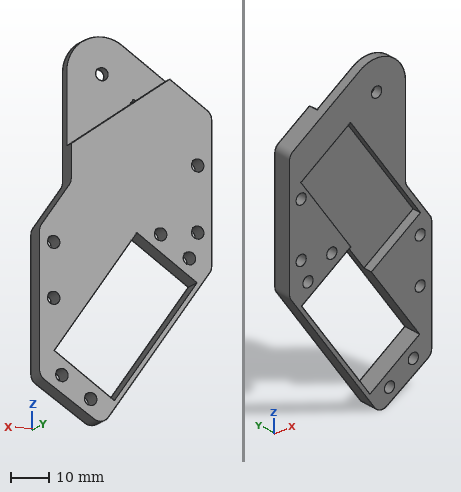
import cadquery as cq
import math

width = 49.0
thickness = 6.0
tilt = 35.0
edge_fillet = 3.0
hole_diameter = 3.5

lobe_radius = 10.0
lobe_right = 40.0
pivot_x = lobe_right - lobe_radius

center_x = width / 2
window_z = -65.2
recess_pitch = 36.0
pocket_z = window_z + recess_pitch
window_length = 41.0
recess_width = 20.9
pocket_length = 42.0

lower_edge_offset = 11.7
upper_edge_offset = 12.05
bottom_corner_offset = 28.2
bottom_tilt = 33.5

lobe_thickness = thickness / 2
pocket_depth = thickness - lobe_thickness
step_clearance = 10.7

screw_pitch_long = 49.0
screw_pitch_short = 10.0
side_hole_inset = 4.0
left_hole_heights = (-22.9, -40.9)
right_hole_heights = (-46.9, -61.9)

sine = math.sin(math.radians(tilt))
cosine = math.cos(math.radians(tilt))
slope = sine / cosine
bottom_slope = math.tan(math.radians(bottom_tilt))


def tilted_point(center_z, across, along):
    """Point offset from a recess centre, across (up-right) and along (down-right) the tilt."""
    x = center_x + across * cosine + along * sine
    z = center_z + across * sine - along * cosine
    return (x, z)


def extrude_back(sketch, depth):
    """Extrude an XZ sketch from the front face (Y = 0) toward +Y."""
    return sketch.extrude(-depth)


def long_edge_height(center_z, across, x):
    """Height at x of a long slanted edge set across from a recess centre."""
    edge_x, edge_z = tilted_point(center_z, across, 0)
    return edge_z - (x - edge_x) / slope


def make_plate():
    lobe_tangent = (pivot_x - lobe_radius * sine, lobe_radius * cosine)
    upper_left = (0, lobe_tangent[1] - lobe_tangent[0] * slope)
    lower_left = (0, long_edge_height(window_z, -lower_edge_offset, 0))
    bottom = tilted_point(window_z, -lower_edge_offset, bottom_corner_offset)
    lower_right = (width, bottom[1] + (width - bottom[0]) * bottom_slope)
    upper_right = (width, long_edge_height(pocket_z, upper_edge_offset, width))
    inner_corner = (lobe_right, long_edge_height(pocket_z, upper_edge_offset, lobe_right))
    lobe_middle_angle = math.radians((90 + tilt) / 2)
    lobe_middle = (
        pivot_x + lobe_radius * math.cos(lobe_middle_angle),
        lobe_radius * math.sin(lobe_middle_angle),
    )
    outline = (
        cq.Workplane("XZ")
        .moveTo(*upper_left)
        .lineTo(*lobe_tangent)
        .threePointArc(lobe_middle, (lobe_right, 0))
        .lineTo(*inner_corner)
        .lineTo(*upper_right)
        .lineTo(*lower_right)
        .lineTo(*bottom)
        .lineTo(*lower_left)
        .close()
    )
    plate = extrude_back(outline, thickness)
    for x, z in (upper_left, inner_corner, upper_right, lower_right, bottom, lower_left):
        corner_edge = cq.selectors.NearestToPointSelector((x, thickness / 2, z))
        plate = plate.edges(corner_edge).fillet(edge_fillet)
    return plate


def make_recess(center_z, across, along, depth):
    """Tilted rectangular block, sunk from the front face."""
    sketch = (
        cq.Workplane("XZ")
        .center(center_x, center_z)
        .transformed(rotate=(0, 0, tilt))
        .rect(across, along)
    )
    return extrude_back(sketch, depth)


def make_step():
    """Block that thins the lobe from the back, ending on a face that falls at the tilt toward +X."""
    return (
        cq.Workplane("XY")
        .box(2 * width, thickness, width, centered=(True, False, False))
        .translate((0, lobe_thickness, -step_clearance))
        .rotate((0, 0, 0), (0, 1, 0), tilt)
        .translate((pivot_x, 0, 0))
    )


def make_holes():
    points = [(pivot_x, 0)]
    points += [(side_hole_inset, z) for z in left_hole_heights]
    points += [(width - side_hole_inset, z) for z in right_hole_heights]
    for across in (-screw_pitch_short / 2, screw_pitch_short / 2):
        for along in (-screw_pitch_long / 2, screw_pitch_long / 2):
            points.append(tilted_point(window_z, across, along))
    sketch = cq.Workplane("XZ").pushPoints(points).circle(hole_diameter / 2)
    return extrude_back(sketch, thickness)


result = (
    make_plate()
    .cut(make_recess(window_z, recess_width, window_length, thickness))
    .cut(make_recess(pocket_z, recess_width, pocket_length, pocket_depth))
    .cut(make_step())
    .cut(make_holes())
)